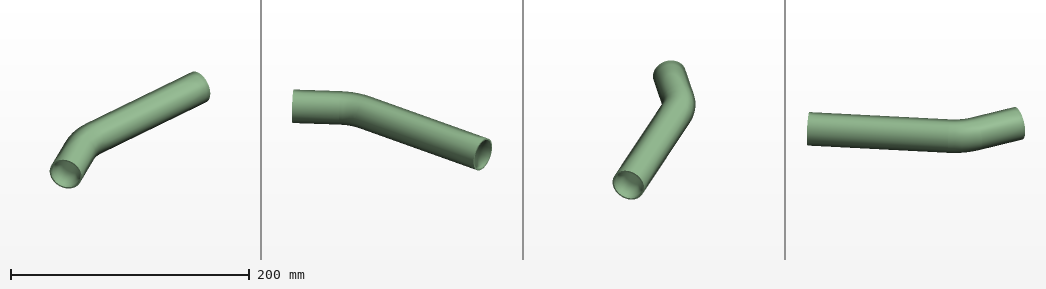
import cadquery as cq
import math

outer_diameter = 28.0
inner_diameter = 25.5
overall_length = 181.2
bend_angle = 30.0
bend_radius = 42.0
short_leg = 39.7

sine = math.sin(math.radians(bend_angle))
cosine = math.cos(math.radians(bend_angle))
bend_length = bend_radius * sine
short_leg_length = short_leg * cosine + outer_diameter / 2 * sine
long_leg = overall_length - bend_length - short_leg_length


def centreline_arc_point(angle):
    """Point on the bend; the long leg ends at the origin and the bend turns toward +X."""
    turn = math.radians(angle)
    return (bend_radius * (1 - math.cos(turn)), -bend_radius * math.sin(turn))


bend_end = centreline_arc_point(bend_angle)
short_leg_end = (bend_end[0] + short_leg * sine, bend_end[1] - short_leg * cosine)
centreline = (
    cq.Workplane("XY")
    .moveTo(0, long_leg)
    .lineTo(0, 0)
    .threePointArc(centreline_arc_point(bend_angle / 2), bend_end)
    .lineTo(*short_leg_end)
)

result = (
    cq.Workplane("XZ", origin=(0, long_leg, 0))
    .circle(outer_diameter / 2)
    .circle(inner_diameter / 2)
    .sweep(centreline)
)